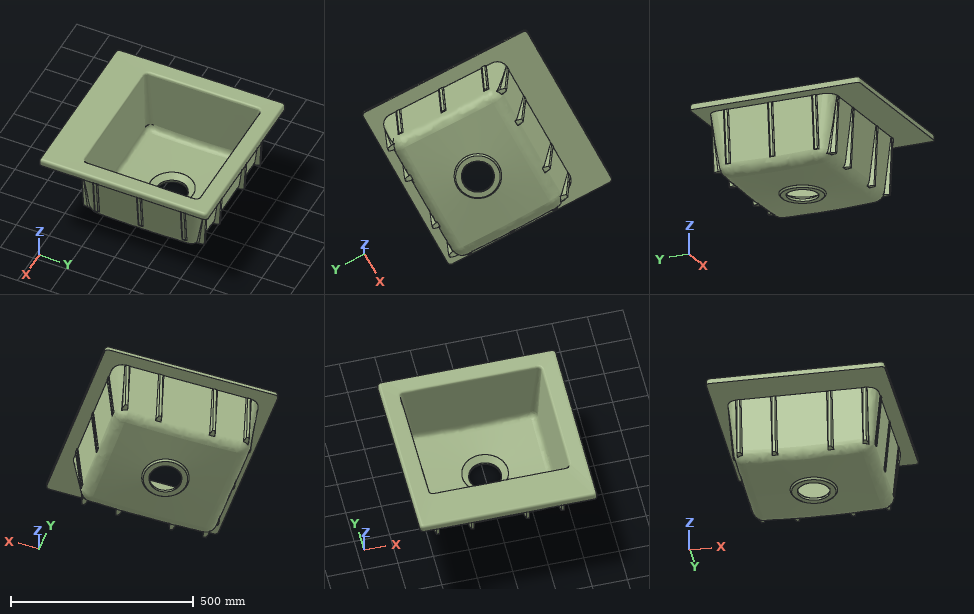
import cadquery as cq
import math

length = 513.0
back_y = length / 2
front_y = -length / 2
rim_half_back = 251.5
narrowing = 2.0
rim_depth = 20.0
rim_corner_radius = 10.5
rim_edge_radius = 8.5
dish_inset = 8.0
dish_depth = 3.0
total_depth = 220.0

drain_y = 30.0
drain_radius = 90.0 / 2
drain_mouth_radius = 61.5
drain_throat_depth = 7.0
drain_lip_radius = 64.0
drain_lip_depth = 1.5
boss_radius = 65.0
boss_end_radius = 61.0
boss_chamfer = 5.5

floor_angle = 3.9
floor_reach = 359.0
wall_depth = 220.5
floor_thickness = 14.0

outer_fillet = 35.0
inner_fillet = 19.0
mouth_fillet = 7.5

SIDE, BACK, FRONT = 0, 1, 2
outer_top = (212.5, 221.0, -159.5, 31.0)
outer_bottom = (194.0, 196.0, -134.5, 34.0)
inner_top = (200.0, 207.0, -145.0, 10.5)
inner_bottom = (178.5, 182.5, -125.5, 20.5)

dish_corner_back = (19.0, 18.0)
dish_corner_front = (6.0, 32.5)
mouth_corner = 16.5

rib_face_width = 8.0
rib_root_width = 15.5
rib_embed = 10.5
rib_top_height = 1.0
inner_rib_x, inner_rib_bottom = 78.0, -194.5
outer_rib_x, outer_rib_bottom = 176.0, -186.0
end_rib_height = 14.5
side_rib_spacing = 133.5
side_rib_bottom = -174.5
side_rib_height = 2.0


def rounded_outline(half_back, y_back, y_front, radius, z):
    """Closed outline, slightly narrower at the front, with rounded corners."""
    half_front = half_back - narrowing
    corners = [
        cq.Vector(-half_back, y_back, z),
        cq.Vector(half_back, y_back, z),
        cq.Vector(half_front, y_front, z),
        cq.Vector(-half_front, y_front, z),
    ]
    wire = cq.Wire.makePolygon(corners, close=True)
    return wire.fillet2D(radius, wire.Vertices())


def loft(lower, upper):
    return cq.Workplane(obj=cq.Solid.makeLoft([lower, upper], True))


def floor_height(centre_z, radius):
    return centre_z + radius * math.tan(math.radians(floor_angle))


def bowl(top, bottom, top_z, floor_centre_z, fillet):
    """Tapered bowl body with a floor that falls to the drain."""
    body = loft(rounded_outline(*bottom, -wall_depth), rounded_outline(*top, top_z))
    edge_z = floor_height(floor_centre_z, floor_reach)
    room = (
        cq.Workplane("XZ", origin=(0, drain_y, 0))
        .polyline([(0, floor_centre_z), (floor_reach, edge_z), (floor_reach, top_z), (0, top_z)])
        .close()
        .revolve()
    )
    body = body.intersect(room)
    return body.faces("<Z").edges().fillet(fillet)


def rim():
    plate = cq.Workplane(obj=cq.Solid.extrudeLinear(
        rounded_outline(rim_half_back, back_y, front_y, rim_corner_radius, -rim_depth),
        [], cq.Vector(0, 0, rim_depth)))
    return plate.faces(">Z").edges().fillet(rim_edge_radius)


def dish():
    """Shallow funnel that makes the rim top fall from its edge to the bowl opening."""
    def loop(half_back, half_front, y_back, y_front, back_cut, front_cut, z):
        right = [
            (half_back - back_cut[0], y_back),
            (half_back, y_back - back_cut[1]),
            (half_front, y_front + front_cut[1]),
            (half_front - front_cut[0], y_front),
        ]
        left = [(-x, y) for x, y in reversed(right)]
        return cq.Wire.makePolygon([cq.Vector(x, y, z) for x, y in right + left], close=True)

    half_edge = rim_half_back - dish_inset
    edge = loop(
        half_edge, half_edge - narrowing, back_y - dish_inset, front_y + dish_inset,
        dish_corner_back, dish_corner_front, 0)
    half_mouth = inner_top[SIDE]
    cut = (mouth_corner, mouth_corner)
    mouth = loop(
        half_mouth, half_mouth - narrowing, inner_top[BACK], inner_top[FRONT],
        cut, cut, -dish_depth)
    return loft(mouth, edge)


def wall_place(side, z):
    """Offset of an outer wall plane at height z; side is SIDE, BACK or FRONT."""
    share = (-rim_depth - z) / (wall_depth - rim_depth)
    return outer_top[side] + share * (outer_bottom[side] - outer_top[side])


def rib(side, position, bottom_z, end_height):
    """Rib along a wall, from the underside of the rim to bottom_z, with sloping flanks."""
    def section(z, height):
        wall = wall_place(side, z)
        outward = math.copysign(1, wall)
        face = wall + outward * height
        root = wall - outward * rib_embed
        half_face = rib_face_width / 2
        half_root = rib_root_width / 2
        outline = [(-half_face, face), (half_face, face), (half_root, wall),
                   (half_root, root), (-half_root, root), (-half_root, wall)]
        if side == SIDE:
            points = [cq.Vector(away, position + along, z) for along, away in outline]
        else:
            points = [cq.Vector(position + along, away, z) for along, away in outline]
        return cq.Wire.makePolygon(points, close=True)

    return loft(section(bottom_z, end_height), section(-rim_depth, rib_top_height))


def ribs():
    for side in (BACK, FRONT):
        for x, bottom_z in ((inner_rib_x, inner_rib_bottom), (outer_rib_x, outer_rib_bottom)):
            for sign in (-1, 1):
                yield rib(side, sign * x, bottom_z, end_rib_height)
    for step in (-1, 0, 1):
        side_rib = rib(SIDE, drain_y + step * side_rib_spacing, side_rib_bottom, side_rib_height)
        yield side_rib
        yield side_rib.mirror("YZ")


def drain_boss():
    return (
        cq.Workplane("XY", origin=(0, drain_y, -total_depth))
        .circle(boss_radius)
        .extrude(total_depth + inner_floor_z)
        .faces("<Z").edges().chamfer(boss_chamfer, boss_radius - boss_end_radius)
    )


def drain():
    """Funnel through the floor, with a narrow bevel around its mouth."""
    mouth_z = floor_height(inner_floor_z, drain_lip_radius)
    return (
        cq.Workplane("XZ", origin=(0, drain_y, 0))
        .polyline([
            (0, -total_depth),
            (drain_radius, -total_depth),
            (drain_radius, drain_throat_depth - total_depth),
            (drain_mouth_radius, mouth_z - drain_lip_depth),
            (drain_lip_radius, mouth_z),
            (0, mouth_z),
        ])
        .close()
        .revolve()
    )


outer_floor_z = floor_height(boss_chamfer - total_depth, -boss_radius)
inner_floor_z = outer_floor_z + floor_thickness

outer_bowl = bowl(outer_top, outer_bottom, -rim_depth, outer_floor_z, outer_fillet)
cavity = bowl(inner_top, inner_bottom, 0, inner_floor_z, inner_fillet)

body = rim().cut(dish()).union(outer_bowl).union(drain_boss())
for one_rib in ribs():
    body = body.union(one_rib)
body = body.cut(cavity).cut(drain())

mouth_box = cq.selectors.BoxSelector(
    (-inner_top[SIDE], inner_top[FRONT], -2 * dish_depth),
    (inner_top[SIDE], inner_top[BACK], -dish_depth / 2))
result = body.edges(mouth_box).fillet(mouth_fillet)